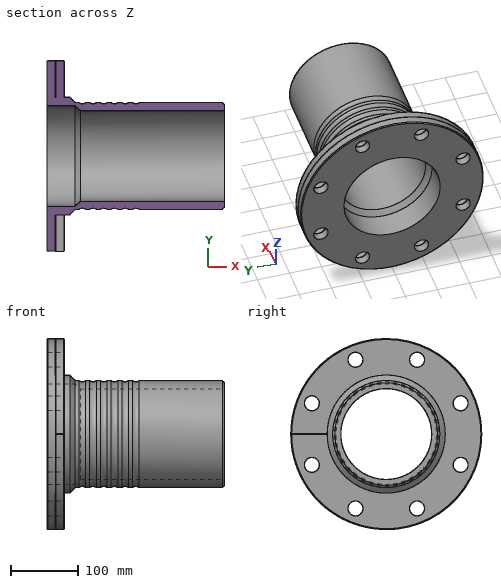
import cadquery as cq

total_length = 265.0
flange_diameter = 285.0
flange_radius = flange_diameter / 2
collar_radius = 176.0 / 2

flange_thickness = 26.2
flange_chamfer = 1.5
gap_width = 0.5
gap_inner_radius = collar_radius
ring_thickness = (flange_thickness - gap_width) / 2

slit_width = 1.7

bolt_count = 8
bolt_hole_diameter = 22.0
bolt_circle_diameter = 240.0
first_bolt_angle = 180 / bolt_count

pipe_radius = 160.0 / 2
pipe_end_chamfer = 3.5
collar_length = 8.0
collar_end = flange_thickness + collar_length
taper_length = collar_radius - pipe_radius
groove_count = 6
groove_pitch = 16.0
groove_width = 10.0
groove_depth = 1.7
first_groove_start = 48.0

entry_radius = 150.0 / 2
bore_radius = 135.0 / 2
cone_start = 42.0
cone_length = 8.0


def make_body():
    """Revolve the flange, collar and grooved pipe about the X axis."""
    rear_ring_start = ring_thickness + gap_width
    profile = (
        cq.Workplane("XY")
        .lineTo(0, flange_radius - flange_chamfer)
        .lineTo(flange_chamfer, flange_radius)
        .lineTo(ring_thickness, flange_radius)
        .lineTo(ring_thickness, gap_inner_radius)
        .lineTo(rear_ring_start, gap_inner_radius)
        .lineTo(rear_ring_start, flange_radius)
        .lineTo(flange_thickness - flange_chamfer, flange_radius)
        .lineTo(flange_thickness, flange_radius - flange_chamfer)
        .lineTo(flange_thickness, collar_radius)
        .lineTo(collar_end, collar_radius)
        .lineTo(collar_end + taper_length, pipe_radius)
    )
    for index in range(groove_count):
        start = first_groove_start + index * groove_pitch
        profile = profile.lineTo(start, pipe_radius).threePointArc(
            (start + groove_width / 2, pipe_radius - groove_depth),
            (start + groove_width, pipe_radius),
        )
    return (
        profile.lineTo(total_length - pipe_end_chamfer, pipe_radius)
        .lineTo(total_length, pipe_radius - pipe_end_chamfer)
        .lineTo(total_length, 0)
        .close()
        .revolve(360, (0, 0, 0), (1, 0, 0))
    )


def make_bore():
    """Revolve the stepped bore about the X axis."""
    return (
        cq.Workplane("XY")
        .lineTo(0, entry_radius)
        .lineTo(cone_start, entry_radius)
        .lineTo(cone_start + cone_length, bore_radius)
        .lineTo(total_length, bore_radius)
        .lineTo(total_length, 0)
        .close()
        .revolve(360, (0, 0, 0), (1, 0, 0))
    )


def make_bolt_holes():
    """A ring of holes through the whole flange, straddling the Y and Z axes."""
    return (
        cq.Workplane("YZ")
        .polarArray(bolt_circle_diameter / 2, first_bolt_angle, 360, bolt_count)
        .circle(bolt_hole_diameter / 2)
        .extrude(flange_thickness)
    )


def make_slit():
    """A narrow radial cut through the rear ring, from its rim in to the collar."""
    return (
        cq.Workplane("XY")
        .box(ring_thickness, flange_radius - collar_radius, slit_width, centered=(False, False, True))
        .translate((flange_thickness - ring_thickness, -flange_radius, 0))
    )


result = make_body().cut(make_bore()).cut(make_bolt_holes()).cut(make_slit())